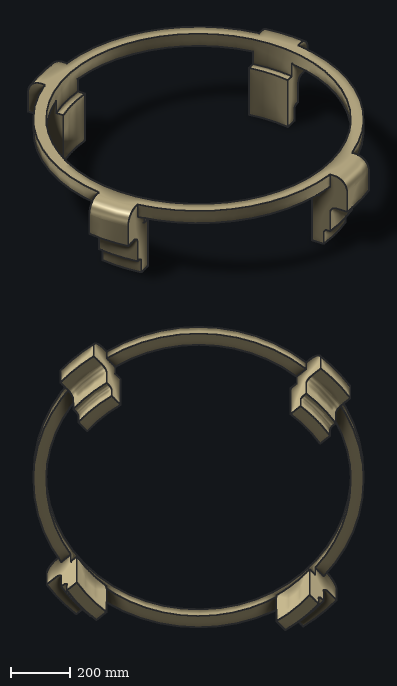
import cadquery as cq

ring_inner_radius = 512.0
ring_outer_radius = 555.0
ring_height = 50.0

leg_count = 4
leg_width = 150.0
leg_outer_radius = 620.0
leg_inner_radius = 485.0
foot_outer_radius = 530.0
total_height = 290.0

inner_ledge_depth = 100.0
upper_step_depth = 130.0
lower_step_depth = 230.0

top_round_radius = 50.0
upper_step_fillet = 25.0
lower_step_fillet = 15.0

top_z = total_height
ring_bottom_z = top_z - ring_height
inner_ledge_z = top_z - inner_ledge_depth
upper_step_z = top_z - upper_step_depth
lower_step_z = top_z - lower_step_depth


def make_ring_disc():
    """Flat disc that joins the legs at their top; the bore later opens it into a ring."""
    return (
        cq.Workplane("XY")
        .workplane(offset=ring_bottom_z)
        .circle(ring_outer_radius)
        .extrude(ring_height)
    )


def make_bore():
    """Cylinder that opens the ring and cuts the inner ledge into every leg."""
    return (
        cq.Workplane("XY")
        .workplane(offset=inner_ledge_z)
        .circle(ring_inner_radius)
        .extrude(inner_ledge_depth)
    )


def make_revolved_leg_profile():
    """Leg cross-section (radius, height) swept all the way round the Z axis."""
    return (
        cq.Workplane("XZ")
        .moveTo(leg_inner_radius, 0)
        .lineTo(foot_outer_radius, 0)
        .lineTo(foot_outer_radius, lower_step_z - lower_step_fillet)
        .radiusArc((foot_outer_radius + lower_step_fillet, lower_step_z), lower_step_fillet)
        .lineTo(ring_outer_radius, lower_step_z)
        .lineTo(ring_outer_radius, upper_step_z - upper_step_fillet)
        .radiusArc((ring_outer_radius + upper_step_fillet, upper_step_z), upper_step_fillet)
        .lineTo(leg_outer_radius, upper_step_z)
        .lineTo(leg_outer_radius, top_z - top_round_radius)
        .radiusArc((leg_outer_radius - top_round_radius, top_z), -top_round_radius)
        .lineTo(leg_inner_radius, top_z)
        .close()
        .revolve(360, (0, 0, 0), (0, 1, 0))
    )


def make_leg():
    """One leg on the +X side: the revolved profile trimmed to parallel sides."""
    trim_block = cq.Workplane("XY").box(
        leg_outer_radius, leg_width, total_height, centered=(False, True, False)
    )
    return make_revolved_leg_profile().intersect(trim_block)


result = make_ring_disc()
leg = make_leg()
for index in range(leg_count):
    result = result.union(leg.rotate((0, 0, 0), (0, 0, 1), index * 360 / leg_count))
result = result.cut(make_bore())